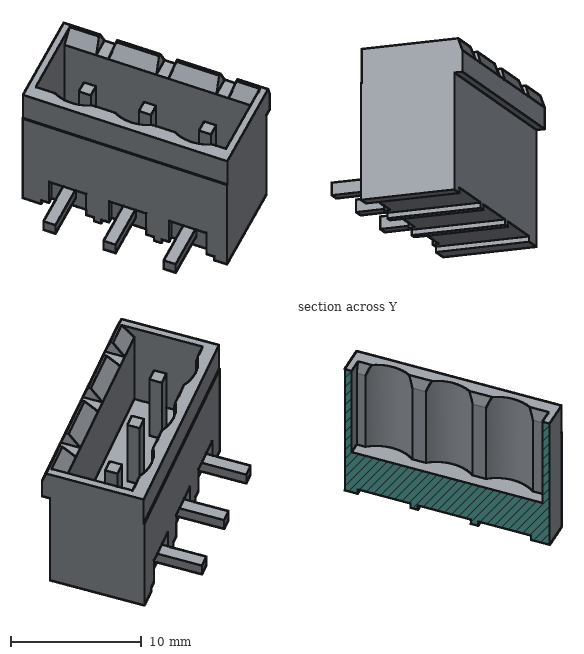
import cadquery as cq

length = 17.0
height = 12.0
body_depth = 7.68

band_height = 2.7
lip_overhang = 0.66
front_step = 0.07
bevel_height = 0.99
bevel_depth = 0.35
lip_back = body_depth + lip_overhang
band_bottom = height - band_height
bevel_bottom = height - bevel_height

end_wall = 0.6
cavity_floor = 4.0
cavity_front = 1.45
cavity_back = 6.73
mouth_front = 1.19
mouth_back = 7.77
cavity_length = length - 2 * end_wall

pitch = 5.0
middle_pin_x = 0.24
pin_positions = [middle_pin_x + i * pitch for i in (-1, 0, 1)]
pin_width = 1.0
pin_y = 3.86
pin_top = 10.37
tail_z = 1.99
tail_length = 3.5

scallop_front = 0.78
scallop_half_width = 1.94
scallop_rise = cavity_front - scallop_front
scallop_radius = (scallop_half_width**2 + scallop_rise**2) / (2 * scallop_rise)

notch_bottom_width = 1.0
notch_top_width = 1.43

recess_width = 3.1
recess_top = 2.89
recess_depth = 0.5
foot_height = 0.42
foot_gap = 4.39


def extrude_along_x(points, x_length):
    """Extrude a (Y, Z) profile symmetrically about X = 0."""
    return cq.Workplane("YZ").polyline(points).close().extrude(x_length / 2, both=True)


def box_from(x_center, width, y_start, y_end, z_start, z_end):
    """Box centred in X, given by its Y and Z limits."""
    box = cq.Workplane("XY").box(width, y_end - y_start, z_end - z_start, centered=(True, False, False))
    return box.translate((x_center, y_start, z_start))


def housing():
    return extrude_along_x(
        [
            (0, 0),
            (body_depth, 0),
            (body_depth, band_bottom),
            (lip_back, band_bottom),
            (lip_back, bevel_bottom),
            (lip_back - bevel_depth, height),
            (front_step, height),
            (front_step, band_bottom),
            (0, band_bottom),
        ],
        length,
    )


def cavity():
    """Cavity whose front and back walls flare outward at the mouth."""
    return extrude_along_x(
        [
            (cavity_front, cavity_floor),
            (cavity_back, cavity_floor),
            (cavity_back, bevel_bottom),
            (mouth_back, height),
            (mouth_front, height),
            (cavity_front, bevel_bottom),
        ],
        cavity_length,
    )


def scallop(x):
    """Cylinder segment cut into the front cavity wall."""
    center_y = scallop_front + scallop_radius
    cylinder = cq.Workplane("XY").center(x, center_y).circle(scallop_radius).extrude(height - cavity_floor)
    segment_limit = box_from(x, 2 * scallop_half_width, 0, cavity_front, cavity_floor, height)
    return cylinder.translate((0, 0, cavity_floor)).intersect(segment_limit)


def notch(x):
    """Trapezoidal groove through the rear rim, level with the foot of its bevel."""
    profile = [
        (x - notch_bottom_width / 2, bevel_bottom),
        (x + notch_bottom_width / 2, bevel_bottom),
        (x + notch_top_width / 2, height),
        (x - notch_top_width / 2, height),
    ]
    groove = cq.Workplane("XZ").polyline(profile).close().extrude(-(lip_back - cavity_back))
    return groove.translate((0, cavity_back, 0))


def pin(x):
    """Upright contact joined to a solder tail leaving through the front."""
    half = pin_width / 2
    tail_bottom = tail_z - half
    contact = box_from(x, pin_width, pin_y - half, pin_y + half, tail_bottom, pin_top)
    tail = box_from(x, pin_width, -tail_length, pin_y, tail_bottom, tail_z + half)
    return contact.union(tail)


result = housing().cut(cavity())
for pin_x in pin_positions:
    result = result.cut(scallop(pin_x)).cut(notch(pin_x))
    result = result.cut(box_from(pin_x, recess_width, 0, recess_depth, 0, recess_top))
    result = result.cut(box_from(pin_x, foot_gap, 0, body_depth, 0, foot_height))
    result = result.union(pin(pin_x))